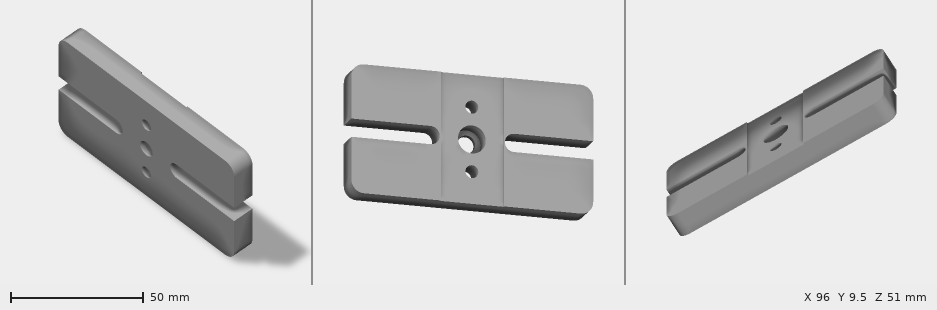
import cadquery as cq

length = 96.0
thickness = 9.5
height = 51.0
corner_radius = 5.0

slot_width = 7.2
slot_depth = 35.0

center_hole_diameter = 6.9
center_hole_depth = 2.2
counterbore_diameter = 11.0
side_hole_diameter = 5.1
side_hole_offset = 12.8

channel_width = 25.0
channel_depth = 0.6


def make_plate():
    plate = cq.Workplane("XY").box(length, thickness, height)
    return plate.edges("|Y").fillet(corner_radius)


def make_slot(side):
    """Round-ended slot cutter; side is -1 for the -X end, +1 for the +X end."""
    return (
        cq.Workplane("XZ")
        .center(side * length / 2, 0)
        .slot2D(2 * slot_depth, slot_width)
        .extrude(thickness, both=True)
    )


def make_hole(diameter, z):
    return cq.Workplane("XZ").center(0, z).circle(diameter / 2).extrude(thickness, both=True)


def make_counterbore():
    return (
        cq.Workplane("XZ", origin=(0, thickness / 2, 0))
        .circle(counterbore_diameter / 2)
        .extrude(thickness - center_hole_depth)
    )


def make_channel():
    return (
        cq.Workplane("XY")
        .box(channel_width, 2 * channel_depth, height)
        .translate((0, thickness / 2, 0))
    )


result = make_plate()
for side in (-1, 1):
    result = result.cut(make_slot(side))
    result = result.cut(make_hole(side_hole_diameter, side * side_hole_offset))
result = result.cut(make_hole(center_hole_diameter, 0))
result = result.cut(make_counterbore())
result = result.cut(make_channel())